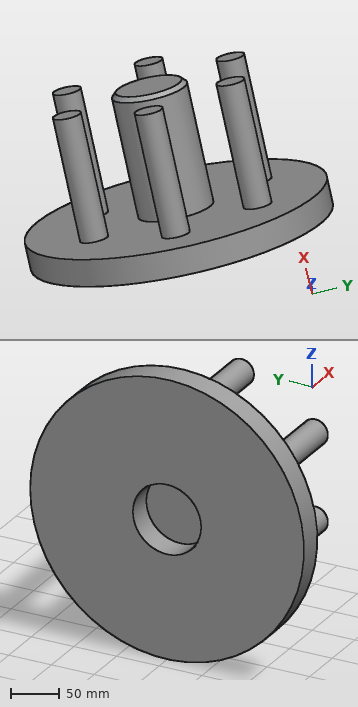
import cadquery as cq
import math

disc_diameter = 321.0
disc_thickness = 30.0
overall_length = 165.0

pin_diameter = 30.0
pin_count = 6
pin_circle_diameter = 200.0

hub_diameter = 80.0
hub_chamfer = 4.8


def cylinder_along_x(diameter, start, end, y=0.0, z=0.0):
    """Solid cylinder parallel to X, from X = start to X = end."""
    return (
        cq.Workplane("YZ", origin=(start, y, z))
        .circle(diameter / 2)
        .extrude(end - start)
    )


def make_pinned_disc():
    """Bored disc with its ring of integral pins."""
    disc = cylinder_along_x(disc_diameter, 0, disc_thickness)
    disc = disc.cut(cylinder_along_x(hub_diameter, 0, disc_thickness))
    pin_circle_radius = pin_circle_diameter / 2
    for index in range(pin_count):
        angle = 2 * math.pi * index / pin_count + math.pi / 2
        y = pin_circle_radius * math.cos(angle)
        z = pin_circle_radius * math.sin(angle)
        disc = disc.union(cylinder_along_x(pin_diameter, disc_thickness, overall_length, y, z))
    return disc


def make_hub():
    """Round hub with a chamfered free end."""
    hub = cylinder_along_x(hub_diameter, disc_thickness, overall_length)
    return hub.faces(">X").chamfer(hub_chamfer)


pinned_disc = make_pinned_disc()
hub = make_hub()

result = cq.Compound.makeCompound([pinned_disc.val(), hub.val()])